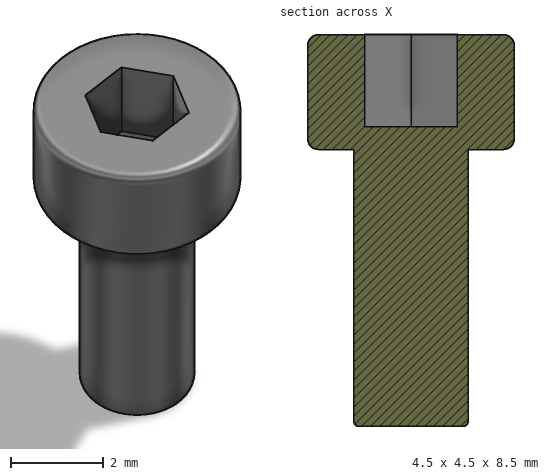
import cadquery as cq
import math

total_length = 8.5
head_diameter = 4.5
head_height = 2.5
head_edge_radius = 0.25
shank_diameter = 2.5
tip_edge_radius = 0.13
socket_across_flats = 2.0
socket_depth = 2.0

shank_length = total_length - head_height
socket_across_corners = socket_across_flats / math.cos(math.radians(30))


def make_head():
    """Cylindrical head, rounded on both rims."""
    head = cq.Workplane("XY").workplane(offset=shank_length)
    head = head.circle(head_diameter / 2).extrude(head_height)
    return head.edges("%CIRCLE").fillet(head_edge_radius)


def make_shank():
    """Plain shank with a rounded tip."""
    shank = cq.Workplane("XY").circle(shank_diameter / 2).extrude(shank_length)
    return shank.faces("<Z").edges().fillet(tip_edge_radius)


def make_socket():
    """Flat-bottomed hexagonal socket with two corners on the X axis."""
    socket = cq.Workplane("XY").workplane(offset=total_length)
    return socket.polygon(6, socket_across_corners).extrude(-socket_depth)


result = make_head().union(make_shank()).cut(make_socket())